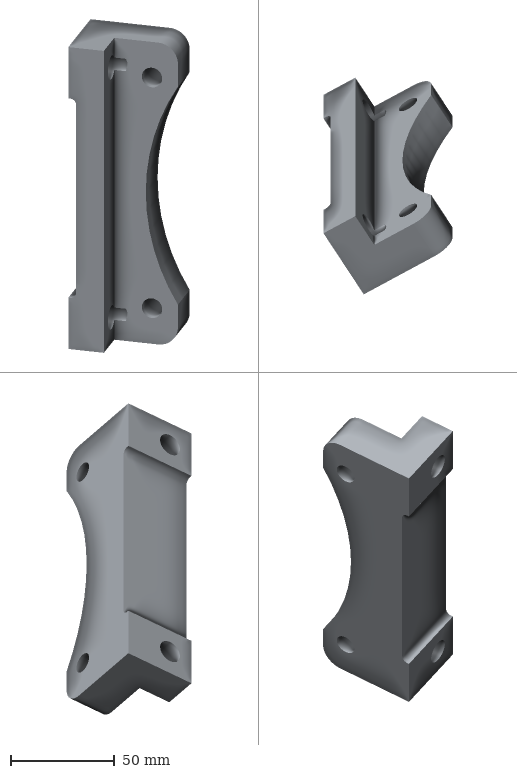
import cadquery as cq
import math

width = 50.0
depth = 38.0
height = 157.0
half_height = height / 2

leg_thickness = 17.9
plate_front = 17.9
corner_radius = 10.0

pad_height = 26.7
relief_depth = 4.0
relief_radius = 3.0

scallop_floor = 33.8
scallop_half_height = 56.7

plate_hole_diameter = 10.2
plate_hole_x = 36.9
plate_hole_spacing = 120.0

leg_hole_diameter = 12.0
leg_hole_y = 12.9
leg_hole_spacing = 130.0
leg_hole_depth = 23.7
drill_point_angle = 90.0


def make_body():
    """Extrude the L section and round the free corners of the plate."""
    section = [
        (0, 0),
        (leg_thickness, 0),
        (leg_thickness, plate_front),
        (width, plate_front),
        (width, depth),
        (0, depth),
    ]
    body = cq.Workplane("XY").workplane(offset=-half_height).polyline(section).close().extrude(height)
    return body.edges("|Y and >X").edges(">Z or <Z").fillet(corner_radius)


def make_relief():
    """Relief across the whole -X face, rounded where its floor meets the pads."""
    relief_height = height - 2 * pad_height
    relief = cq.Workplane("XY").box(relief_depth, depth, relief_height, centered=(False, False, True))
    return relief.edges("|Y and >X").fillet(relief_radius)


def make_scallop():
    """Cylinder sized from the scallop's depth and its opening on the +X edge."""
    rise = width - scallop_floor
    radius = (scallop_half_height**2 + rise**2) / (2 * rise)
    return cq.Workplane("XZ").center(scallop_floor + radius, 0).circle(radius).extrude(-depth)


def make_plate_hole(z):
    return cq.Workplane("XZ").center(plate_hole_x, z).circle(plate_hole_diameter / 2).extrude(-depth)


def make_leg_hole(z):
    """Drilled hole from the -X face with a conical bottom."""
    radius = leg_hole_diameter / 2
    tip_x = leg_hole_depth + radius / math.tan(math.radians(drill_point_angle / 2))
    return (
        cq.Workplane("XY", origin=(0, leg_hole_y, z))
        .polyline([(0, 0), (0, radius), (leg_hole_depth, radius), (tip_x, 0)])
        .close()
        .revolve(360, (0, 0, 0), (1, 0, 0))
    )


result = make_body().cut(make_relief()).cut(make_scallop())
for side in (-1, 1):
    result = result.cut(make_plate_hole(side * plate_hole_spacing / 2))
    result = result.cut(make_leg_hole(side * leg_hole_spacing / 2))